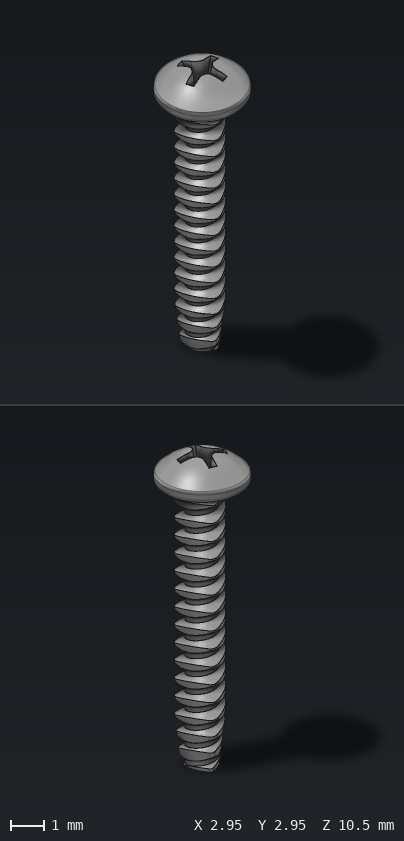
import cadquery as cq
import math


total_length = 10.49
head_diameter = 2.95
core_diameter = 1.05
underside_z = 9.51

dome_radius = 1.99
crown_flat_radius = 0.31
rim_round = 0.15
underside_round = 0.12

lobe_offset = 0.55
lobe_radius = 0.3
tip_lobe_radius = 0.13
taper_length = 1.63
first_lobe_angle = 90

head_overlap = 0.05

thread_turns = 16
thread_rise = 9.68
pitch = thread_rise / thread_turns
flank_half_angle = 30
ridge_apex_radius = 0.9
ridge_root_radius = 0.48
ridge_crest_z = 0.45
lead_in_turns = 2

recess_depth = 0.71
mouth_clearance = 0.02
mouth_arm_length = 0.87
mouth_arm_half_width = 0.15
mouth_corner_radius = 0.29
floor_arm_length = 0.42
floor_arm_half_width = 0.06
floor_corner_radius = 0.35


def polar(radius, degrees):
    angle = math.radians(degrees)
    return radius * math.cos(angle), radius * math.sin(angle)


def make_head():
    head_radius = head_diameter / 2
    dome_center_z = total_length - math.sqrt(dome_radius**2 - crown_flat_radius**2)

    def dome_point(radius):
        return radius, dome_center_z + math.sqrt(dome_radius**2 - radius**2)

    rim = dome_point(head_radius)
    head = (
        cq.Workplane("XZ")
        .moveTo(0, underside_z)
        .lineTo(head_radius, underside_z)
        .lineTo(*rim)
        .threePointArc(dome_point(head_radius / 2), dome_point(crown_flat_radius))
        .lineTo(0, total_length)
        .close()
        .revolve(360, (0, 0), (0, 1))
    )
    head = head.faces("<Z").edges().fillet(underside_round)
    rim_edge = cq.selectors.NearestToPointSelector((0, 0, rim[1]))
    return head.edges("%CIRCLE").edges(rim_edge).fillet(rim_round)


def trilobular(plane, radius):
    """Constant-width outline: small arcs round the lobes, large arcs opposite them."""
    side_radius = radius + lobe_offset * math.sqrt(3)
    lobe_half_angle = 30
    lobe_spacing = 120

    def lobe_point(lobe_angle, normal_angle):
        center_x, center_y = polar(lobe_offset, lobe_angle)
        dx, dy = polar(radius, normal_angle)
        return center_x + dx, center_y + dy

    outline = plane.moveTo(*lobe_point(first_lobe_angle, first_lobe_angle - lobe_half_angle))
    for index in range(3):
        angle = first_lobe_angle + index * lobe_spacing
        next_angle = angle + lobe_spacing
        outline = outline.threePointArc(
            lobe_point(angle, angle), lobe_point(angle, angle + lobe_half_angle)
        )
        side_middle = polar(side_radius - lobe_offset, angle + lobe_spacing / 2)
        outline = outline.threePointArc(
            side_middle, lobe_point(next_angle, next_angle - lobe_half_angle)
        )
    return outline.close()


def make_thread_envelope():
    tip = trilobular(cq.Workplane("XY"), tip_lobe_radius)
    taper = trilobular(tip.workplane(offset=taper_length), lobe_radius).loft(ruled=True, combine=True)
    straight_length = underside_z + head_overlap - taper_length
    straight = trilobular(cq.Workplane("XY", origin=(0, 0, taper_length)), lobe_radius)
    return taper.union(straight.extrude(straight_length))


def make_thread():
    """V ridge on a right-handed helix, cut back to the envelope."""
    start_z = ridge_crest_z - lead_in_turns * pitch
    helix_height = (thread_turns + lead_in_turns) * pitch
    path = cq.Wire.makeHelix(pitch, helix_height, ridge_root_radius, cq.Vector(0, 0, start_z))
    root_half_width = (ridge_apex_radius - ridge_root_radius) * math.tan(math.radians(flank_half_angle))
    ridge = (
        cq.Workplane("XZ")
        .polyline([
            (ridge_root_radius, start_z - root_half_width),
            (ridge_apex_radius, start_z),
            (ridge_root_radius, start_z + root_half_width),
        ])
        .close()
        .sweep(cq.Workplane(path), isFrenet=True)
    )
    return ridge.intersect(make_thread_envelope())


def cross_outline(plane, length, half_width, corner_radius):
    """Four equal arms joined by concave corner arcs."""
    corner_center = half_width + corner_radius
    corner_middle = corner_center - corner_radius / math.sqrt(2)
    arm = [
        (length, -half_width),
        (length, half_width),
        (corner_center, half_width),
        (corner_middle, corner_middle),
        (half_width, corner_center),
    ]
    outline = plane.moveTo(*arm[0])
    for index in range(4):
        end_start, end_finish, arc_start, arc_middle, arc_finish = arm
        if index > 0:
            outline = outline.lineTo(*end_start)
        outline = outline.lineTo(*end_finish).lineTo(*arc_start).threePointArc(arc_middle, arc_finish)
        arm = [(-y, x) for x, y in arm]
    return outline.close()


def make_recess():
    floor = cross_outline(
        cq.Workplane("XY", origin=(0, 0, total_length - recess_depth)),
        floor_arm_length, floor_arm_half_width, floor_corner_radius,
    )
    mouth = cross_outline(
        floor.workplane(offset=recess_depth + mouth_clearance),
        mouth_arm_length, mouth_arm_half_width, mouth_corner_radius,
    )
    return mouth.loft(ruled=True, combine=True)


core = cq.Workplane("XY").circle(core_diameter / 2).extrude(underside_z + head_overlap)
result = core.union(make_thread()).union(make_head()).cut(make_recess())